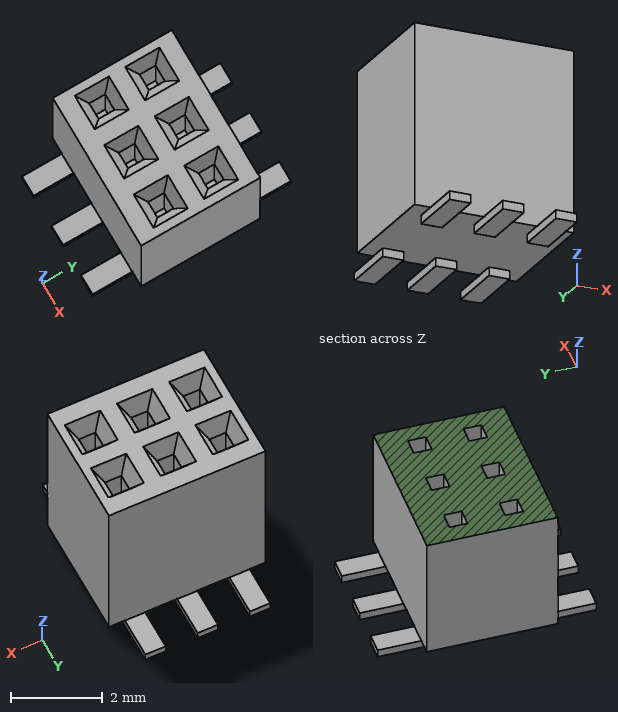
import cadquery as cq

pitch = 1.27
column_count = 3
row_count = 2

body_length = column_count * pitch
body_width = 3.0
body_height = 4.3

lead_width = 0.5
lead_thickness = 0.2
lead_length = 1.5
lead_span = 5.0

socket_mouth = 0.86
socket_throat = 0.4
funnel_depth = 0.4
socket_depth = 2.0

overall_height = lead_thickness + body_height

column_positions = [(i - (column_count - 1) / 2) * pitch for i in range(column_count)]
row_positions = [(i - (row_count - 1) / 2) * pitch for i in range(row_count)]


def make_body():
    """Rectangular housing standing on top of the leads."""
    return (
        cq.Workplane("XY", origin=(0, 0, lead_thickness))
        .rect(body_length, body_width)
        .extrude(body_height)
    )


def make_lead(x, side):
    """Flat solder lead under the housing, pointing to +Y (side = 1) or -Y (side = -1)."""
    y_center = side * (lead_span - lead_length) / 2
    return (
        cq.Workplane("XY", origin=(x, y_center, 0))
        .rect(lead_width, lead_length)
        .extrude(lead_thickness)
    )


def make_socket(x, y):
    """Cavity of one contact: a square funnel leading into a square hole."""
    funnel = (
        cq.Workplane("XY", origin=(x, y, overall_height))
        .rect(socket_mouth, socket_mouth)
        .workplane(offset=-funnel_depth)
        .rect(socket_throat, socket_throat)
        .loft(ruled=True)
    )
    hole = (
        cq.Workplane("XY", origin=(x, y, overall_height))
        .rect(socket_throat, socket_throat)
        .extrude(-socket_depth)
    )
    return funnel.union(hole)


result = make_body()
for x in column_positions:
    for side in (1, -1):
        result = result.union(make_lead(x, side))
    for y in row_positions:
        result = result.cut(make_socket(x, y))